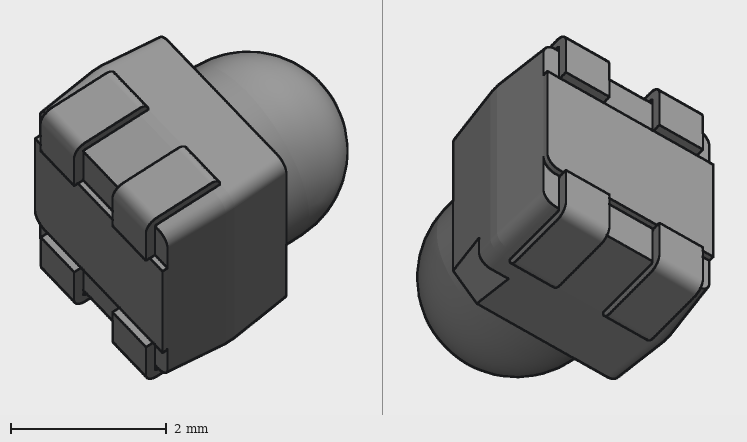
import cadquery as cq
import math

belt_width = 2.8
belt_height = 3.2
taper_inset = 0.07
corner_radius = 0.195
base_y = 0.17
belt_start_y = 1.068
belt_end_y = 1.21
top_y = 2.105

pad_height = 1.795
pad_thickness = 0.085

notch_leg = 0.38
notch_depth = 0.615

overall_length = 3.8
lens_radius = 1.28

lead_span = 3.5
lead_thickness = (lead_span - belt_height) / 2
lead_width = 0.7
lead_pitch = 1.5
lead_foot = 0.798
inner_bend_radius = 0.03
outer_bend_radius = inner_bend_radius + lead_thickness

end_width = belt_width - 2 * taper_inset
end_height = belt_height - 2 * taper_inset


def plane_at(y):
    """Plane normal to +Y, with local x along +Z and local y along +X."""
    return cq.Plane(origin=(0, y, 0), xDir=(0, 0, 1), normal=(0, 1, 0))


def rounded_section(y, width, height):
    """Closed rounded rectangle across the housing at the given Y."""
    outline = cq.Workplane(plane_at(y)).rect(height, width).val()
    return outline.fillet2D(corner_radius, outline.Vertices())


def make_shell():
    """Tapered housing block with a straight belt."""
    sections = [
        rounded_section(base_y, end_width, end_height),
        rounded_section(belt_start_y, belt_width, belt_height),
        rounded_section(belt_end_y, belt_width, belt_height),
        rounded_section(top_y, end_width, end_height),
    ]
    return cq.Workplane(cq.Solid.makeLoft(sections, True))


def make_pad():
    """Full-width pad on the base, with one rounded corner at -X, -Z."""
    pad = (
        cq.Workplane("XY")
        .box(end_width, pad_thickness, pad_height)
        .translate((0, base_y - pad_thickness / 2, 0))
    )
    return pad.edges("|Y and <X and <Z").fillet(corner_radius)


def make_notch():
    """Triangular cutter for the 45 degree notch at the -X, -Z corner of the top."""
    corner_x = -end_width / 2
    corner_z = -end_height / 2
    overrun = 2 * taper_inset
    reach = notch_leg + overrun
    return (
        cq.Workplane(plane_at(top_y - notch_depth))
        .polyline([
            (corner_z - overrun, corner_x - overrun),
            (corner_z + reach, corner_x - overrun),
            (corner_z - overrun, corner_x + reach),
        ])
        .close()
        .extrude(notch_depth)
    )


def make_housing():
    return make_shell().union(make_pad()).cut(make_notch())


def make_lens():
    """Round lens: a short cylinder on the housing top, ending in a hemisphere."""
    dome_y = overall_length - lens_radius
    return (
        cq.Workplane("XY")
        .moveTo(0, top_y)
        .lineTo(lens_radius, top_y)
        .lineTo(lens_radius, dome_y)
        .radiusArc((0, overall_length), -lens_radius)
        .close()
        .revolve(360, (0, 0, 0), (0, 1, 0))
    )


def make_lead(x):
    """Lead on the +Z side: it leaves the belt, runs to the base and folds under it."""
    inner_z = belt_height / 2
    outer_z = lead_span / 2
    foot_z = outer_z - lead_foot
    bend_y = outer_bend_radius
    bend_z = outer_z - outer_bend_radius
    diagonal = math.sqrt(0.5)
    shoulder_y = belt_end_y - lead_thickness
    return (
        cq.Workplane("YZ")
        .moveTo(belt_end_y, inner_z)
        .threePointArc(
            (shoulder_y + lead_thickness * diagonal, inner_z + lead_thickness * diagonal),
            (shoulder_y, outer_z),
        )
        .lineTo(bend_y, outer_z)
        .threePointArc(
            (bend_y - outer_bend_radius * diagonal, bend_z + outer_bend_radius * diagonal),
            (0, bend_z),
        )
        .lineTo(0, foot_z)
        .lineTo(lead_thickness, foot_z)
        .lineTo(lead_thickness, bend_z)
        .threePointArc(
            (bend_y - inner_bend_radius * diagonal, bend_z + inner_bend_radius * diagonal),
            (bend_y, inner_z),
        )
        .close()
        .extrude(lead_width / 2, both=True)
        .translate((x, 0, 0))
    )


housing = make_housing()
lens = make_lens()
leads = []
for lead_x in (-lead_pitch / 2, lead_pitch / 2):
    upper_lead = make_lead(lead_x)
    leads.append(upper_lead.solids().val())
    leads.append(upper_lead.mirror("XY").solids().val())

result = cq.Compound.makeCompound([housing.solids().val(), lens.val(), *leads])